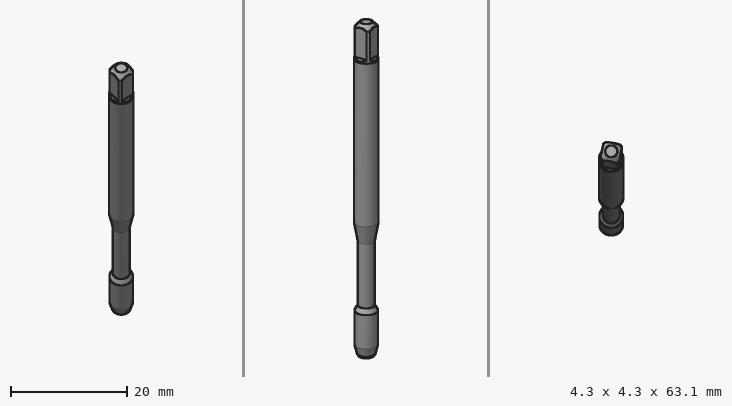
import cadquery as cq

total_height = 63.1
flat_bottom = 56.7
shoulder_height = 56.1
shank_bottom = 25.25
neck_top = 21.65
head_height = 9.5

shank_diameter = 4.3
neck_diameter = 2.95

drive_corner_diameter = 4.1
drive_flat_width = 3.3
drive_tip_diameter = 2.1

head_diameter = 4.1
head_top_taper_height = 1.0
lead_taper_height = 2.1
lead_end_diameter = 3.3
tip_chamfer_height = 0.45
tip_diameter = 2.65


def revolve_sections(sections):
    """Turn (diameter, height) sections, listed upwards, about the Z axis."""
    outline = [(diameter / 2, height) for diameter, height in sections]
    bottom = (0, sections[0][1])
    top = (0, sections[-1][1])
    return cq.Workplane("XZ").polyline([bottom, *outline, top]).close().revolve(360, (0, 0), (0, 1))


def make_square_envelope():
    """Square prism for the drive, with flats that run out to the shank surface at 45 degrees."""
    runout_depth = (shank_diameter - drive_flat_width) / 2
    prism = (
        cq.Workplane("XY", origin=(0, 0, flat_bottom))
        .rect(drive_flat_width, drive_flat_width)
        .extrude(total_height - flat_bottom)
    )
    runout = (
        cq.Workplane("XY", origin=(0, 0, flat_bottom - runout_depth))
        .rect(shank_diameter, shank_diameter)
        .workplane(offset=runout_depth)
        .rect(drive_flat_width, drive_flat_width)
        .loft(ruled=True)
    )
    base = (
        cq.Workplane("XY", origin=(0, 0, head_height))
        .rect(shank_diameter, shank_diameter)
        .extrude(flat_bottom - runout_depth - head_height)
    )
    return base.union(runout).union(prism)


def make_shank():
    """Shank with its neck below and its square drive, coned at the top, above."""
    drive_taper_height = (drive_corner_diameter - drive_tip_diameter) / 2
    turned = revolve_sections([
        (neck_diameter, head_height),
        (neck_diameter, neck_top),
        (shank_diameter, shank_bottom),
        (shank_diameter, shoulder_height),
        (drive_corner_diameter, shoulder_height),
        (drive_corner_diameter, total_height - drive_taper_height),
        (drive_tip_diameter, total_height),
    ])
    return turned.intersect(make_square_envelope())


def make_cutting_head():
    """Cutting head with a lead taper and tip chamfer below and a taper above."""
    return revolve_sections([
        (tip_diameter, 0),
        (lead_end_diameter, tip_chamfer_height),
        (head_diameter, lead_taper_height),
        (head_diameter, head_height - head_top_taper_height),
        (neck_diameter, head_height),
    ])


shank = make_shank()
cutting_head = make_cutting_head()

result = cq.Compound.makeCompound([shank.solids().val(), cutting_head.val()])